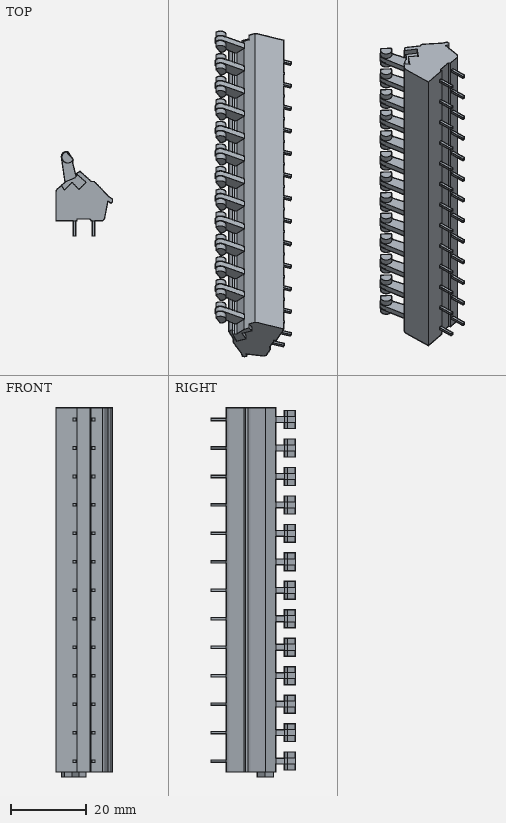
import cadquery as cq

pole_count = 13
pole_pitch = 7.5
first_pole_height = 2.9
last_pole_margin = 3.1
body_length = first_pole_height + (pole_count - 1) * pole_pitch + last_pole_margin
pole_heights = [first_pole_height + pole * pole_pitch for pole in range(pole_count)]

housing_width = 15.0
back_seam_height = 7.5
back_height = 8.2
back_setback = 0.15
lever_seat_start = (2.5, 10.3)
lever_seat_end = (5.0, 11.35)
ridge_foot = (5.4, 11.85)
ridge_shoulder = (5.35, 12.5)
ridge_top = (6.4, 13.1)
step_foot = (9.4, 10.4)
step_start = (10.15, 10.4)
step_end = (11.1, 9.45)
lip_root = (13.9, 6.5)
lip_tip_top = 5.75
lip_tip_bottom = 5.1
lip_underside = (14.55, 4.65)
lip_inner = (13.75, 5.2)
front_toe_top = (12.95, 1.0)
front_toe_middle = (12.73, 0.43)
front_base = 12.3

channel_start = 5.65
channel_end = 9.3
channel_depth = 0.5
channel_slope = 0.3

tab_height = 1.3
pocket_depth = 1.5
coupling_back_x = 1.45
back_slope = (lever_seat_start[1] - back_height) / (lever_seat_start[0] - back_setback)
coupling_outline = [
    (coupling_back_x, back_height + back_slope * (coupling_back_x - back_setback)),
    (2.3, 8.15),
    (4.3, 10.2),
    (6.1, 8.3),
    (8.0, 10.2),
    ridge_shoulder,
    ridge_foot,
    lever_seat_end,
    lever_seat_start,
]

pin_size = 0.7
pin_length = 4.0
pin_first_x = 4.95
pin_spacing = 5.0
pin_embed = 1.0

overall_depth = 22.27
lever_top = overall_depth - pin_length
lever_thickness = 1.6
lever_back_foot = (2.4, 10.2)
lever_back_top = (1.45, 16.7)
lever_tip_start = (2.5, lever_top)
lever_tip_mid = (1.75, 17.8)
lever_tip_end = (3.2, lever_top)
lever_nose = (4.65, 16.1)
lever_neck = (4.45, 15.4)
lever_front_foot = (5.4, 11.7)
lever_root = (4.5, 9.5)

grip_length = 4.8
grip_flat_start = (2.75, 18.24)
grip_flat_end = (4.55, 16.22)
grip_round_middle = (2.05, 15.75)


def extrude_between(sketch, bottom, top):
    return sketch.extrude(top - bottom).translate((0, 0, bottom))


def make_housing():
    outline = (
        cq.Workplane("XY")
        .polyline([
            (front_base, 0),
            (channel_end, 0),
            (channel_end - channel_slope, channel_depth),
            (channel_start, channel_depth),
            (channel_start, 0),
            (0, 0),
            (0, back_seam_height),
            (back_setback, back_height),
            lever_seat_start,
            lever_seat_end,
            ridge_foot,
            ridge_shoulder,
            ridge_top,
            step_foot,
            step_start,
            step_end,
            lip_root,
            (housing_width, lip_tip_top),
            (housing_width, lip_tip_bottom),
            lip_underside,
            lip_inner,
            front_toe_top,
        ])
        .threePointArc(front_toe_middle, (front_base, 0))
        .close()
    )
    return extrude_between(outline, 0, body_length)


def make_coupling(bottom, top):
    return extrude_between(cq.Workplane("XY").polyline(coupling_outline).close(), bottom, top)


def make_pin(x, z):
    length = pin_length + pin_embed
    pin = cq.Workplane("XY").box(pin_size, length, pin_size)
    return pin.translate((x, length / 2 - pin_length, z))


def make_lever(z):
    blade = (
        cq.Workplane("XY")
        .moveTo(*lever_root)
        .lineTo(*lever_back_foot)
        .lineTo(*lever_back_top)
        .threePointArc(lever_tip_mid, lever_tip_start)
        .lineTo(*lever_tip_end)
        .lineTo(*lever_nose)
        .lineTo(*lever_neck)
        .lineTo(*lever_front_foot)
        .close()
    )
    blade = extrude_between(blade, z - lever_thickness / 2, z + lever_thickness / 2)
    grip = (
        cq.Workplane("XY")
        .moveTo(*grip_flat_end)
        .lineTo(*grip_flat_start)
        .threePointArc(grip_round_middle, grip_flat_end)
        .close()
    )
    grip = extrude_between(grip, z - grip_length / 2, z + grip_length / 2)
    return blade.union(grip)


result = make_housing()
result = result.cut(make_coupling(body_length - pocket_depth, body_length))
result = result.union(make_coupling(-tab_height, 0))
for pole_z in pole_heights:
    result = result.union(make_lever(pole_z))
    result = result.union(make_pin(pin_first_x, pole_z))
    result = result.union(make_pin(pin_first_x + pin_spacing, pole_z))